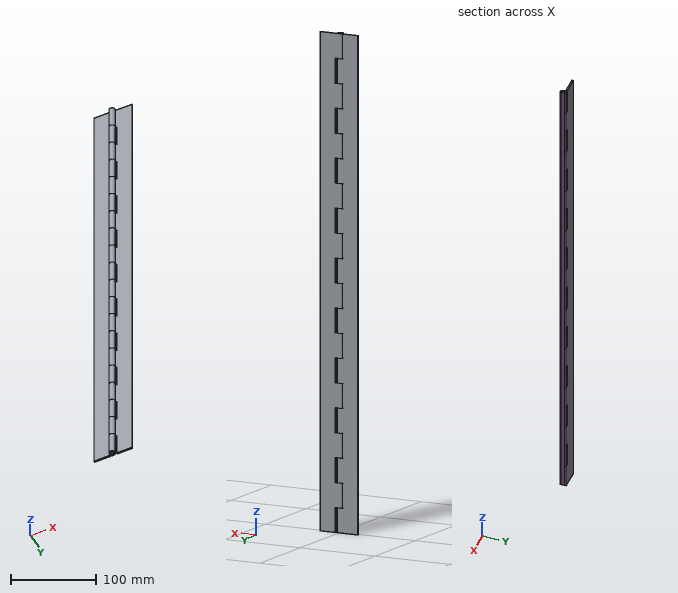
import cadquery as cq

HINGE_LENGTH = 600.0
HINGE_WIDTH = 50.0
KNUCKLE_DIAMETER = 8.0
SHEET_THICKNESS = 2.0
KNUCKLE_COUNT = 20
NOTCH_CLEARANCE = 1.0

KNUCKLE_RADIUS = KNUCKLE_DIAMETER / 2
PIN_RADIUS = KNUCKLE_RADIUS - SHEET_THICKNESS
KNUCKLE_LENGTH = HINGE_LENGTH / KNUCKLE_COUNT
LEAF_REACH = HINGE_WIDTH / 2
LEAF_INNER_EDGE = KNUCKLE_RADIUS + NOTCH_CLEARANCE
LEAF_FRONT = KNUCKLE_RADIUS - SHEET_THICKNESS


def make_plate(inner_edge, bottom, height):
    """Flat sheet from inner_edge to the outer edge, flush with the back of the knuckles."""
    plate = cq.Workplane("XY").box(LEAF_REACH - inner_edge, SHEET_THICKNESS, height, centered=False)
    return plate.translate((inner_edge, LEAF_FRONT, bottom))


def make_knuckle(bottom):
    """One knuckle barrel, tied to the plate by a strip tangent to its back, bored for the pin."""
    barrel = cq.Workplane("XY").workplane(offset=bottom).circle(KNUCKLE_RADIUS).extrude(KNUCKLE_LENGTH)
    strip = make_plate(0, bottom, KNUCKLE_LENGTH)
    bore = cq.Workplane("XY").workplane(offset=bottom).circle(PIN_RADIUS).extrude(KNUCKLE_LENGTH)
    return barrel.union(strip).cut(bore)


def make_leaf(first_knuckle):
    """Leaf on the +X side carrying every second knuckle, counted from the bottom."""
    leaf = make_plate(LEAF_INNER_EDGE, 0, HINGE_LENGTH)
    for index in range(first_knuckle, KNUCKLE_COUNT, 2):
        leaf = leaf.union(make_knuckle(index * KNUCKLE_LENGTH))
    return leaf


def make_pin():
    """Straight pin through all the knuckles."""
    return cq.Workplane("XY").circle(PIN_RADIUS).extrude(HINGE_LENGTH)


right_leaf = make_leaf(first_knuckle=1)
left_leaf = make_leaf(first_knuckle=0).mirror("YZ")
pin = make_pin()

result = cq.Compound.makeCompound([left_leaf.val(), right_leaf.val(), pin.val()])